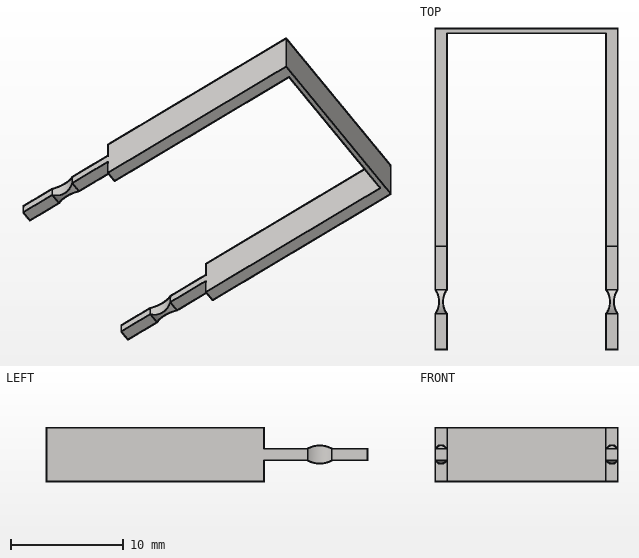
import cadquery as cq

width = 16.25
length = 28.58
height = 4.8

leg_thickness = 1.05
web_thickness = 0.43

pin_length = 9.2
pin_height = 1.05

squeeze_from_tip = 3.17
squeeze_length = 2.17
squeeze_thickness = 0.37
squeeze_height = 1.63

tip_y = -length / 2
leg_end_y = tip_y + pin_length
web_inner_y = length / 2 - web_thickness
squeeze_start_y = tip_y + squeeze_from_tip
squeeze_middle_y = squeeze_start_y + squeeze_length / 2
squeeze_end_y = squeeze_start_y + squeeze_length
leg_center_x = (width - leg_thickness) / 2


def arched_outline(plane, end_size, middle_size):
    """Start a pin outline along Y whose two sides follow arcs in the squeezed section.

    On the XY plane Y is the second local axis, on the YZ plane it is the first.
    """
    def point(y, offset):
        return (offset, y) if plane == "XY" else (y, offset)

    end_half = end_size / 2
    middle_half = middle_size / 2
    return (
        cq.Workplane(plane)
        .moveTo(*point(tip_y, -end_half))
        .lineTo(*point(squeeze_start_y, -end_half))
        .threePointArc(point(squeeze_middle_y, -middle_half), point(squeeze_end_y, -end_half))
        .lineTo(*point(leg_end_y, -end_half))
        .lineTo(*point(leg_end_y, end_half))
        .lineTo(*point(squeeze_end_y, end_half))
        .threePointArc(point(squeeze_middle_y, middle_half), point(squeeze_start_y, end_half))
        .lineTo(*point(tip_y, end_half))
        .close()
    )


def make_body():
    """U-shaped strip: two legs joined by a thinner web."""
    outer = cq.Workplane("XY").box(width, length - pin_length, height)
    outer = outer.translate((0, pin_length / 2, 0))
    opening_length = web_inner_y - leg_end_y
    opening = cq.Workplane("XY").box(width - 2 * leg_thickness, opening_length, height)
    return outer.cut(opening.translate((0, leg_end_y + opening_length / 2, 0)))


def make_pin():
    """Pin on the X origin: the necked plan outline crossed with the bulged side outline."""
    necked = arched_outline("XY", leg_thickness, squeeze_thickness).extrude(squeeze_height, both=True)
    bulged = arched_outline("YZ", pin_height, squeeze_height).extrude(leg_thickness, both=True)
    return necked.intersect(bulged)


result = make_body()
pin = make_pin()
for side in (-1, 1):
    result = result.union(pin.translate((side * leg_center_x, 0, 0)))